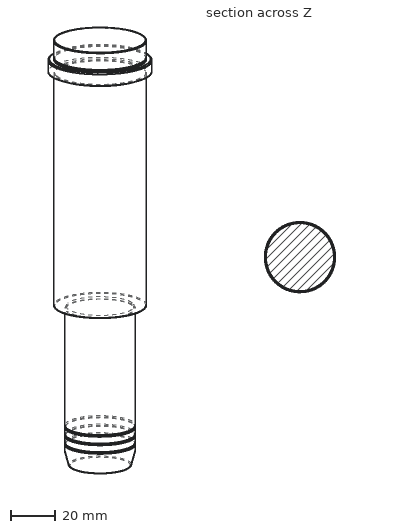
import cadquery as cq

total_length = 200.0
body_diameter = 42.0
body_bottom = 75.0
edge_chamfer = 0.5

collar_diameter = 47.0
collar_top = 191.0
collar_height = 5.8
collar_chamfer = 0.5

collar_relief_width = 1.0
collar_relief_depth = 0.5

pin_diameter = 32.0
tip_diameter = 28.2
tip_length = 7.0
tip_chamfer = 0.5

neck_width = 1.2
neck_depth = 0.5

ring_count = 3
ring_pitch = 4.0
lowest_ring_center = 10.5
ring_width = 1.0
ring_depth = 0.5


def cylinder(diameter, bottom, top):
    """Cylinder on the Z axis between two heights."""
    return cq.Workplane("XY").workplane(offset=bottom).circle(diameter / 2).extrude(top - bottom)


def groove(diameter, depth, bottom, width):
    """Square ring-shaped cutter that sinks a groove into a cylinder."""
    outer = cylinder(diameter + 2 * depth, bottom, bottom + width)
    inner = cylinder(diameter - 2 * depth, bottom, bottom + width)
    return outer.cut(inner)


def v_groove(diameter, depth, center, width):
    """V-shaped ring cutter whose mouth is centered at the given height."""
    radius = diameter / 2
    return (
        cq.Workplane("XZ")
        .moveTo(radius, center - width / 2)
        .lineTo(radius - depth, center)
        .lineTo(radius, center + width / 2)
        .close()
        .revolve(360, (0, 0, 0), (0, 1, 0))
    )


tip = (
    cq.Workplane("XY")
    .circle(tip_diameter / 2)
    .workplane(offset=tip_length)
    .circle(pin_diameter / 2)
    .loft()
    .faces("<Z")
    .chamfer(tip_chamfer)
)
pin = cylinder(pin_diameter, tip_length, body_bottom)
pin = pin.cut(groove(pin_diameter, neck_depth, body_bottom - neck_width, neck_width))
for index in range(ring_count):
    ring_center = lowest_ring_center + index * ring_pitch
    pin = pin.cut(v_groove(pin_diameter, ring_depth, ring_center, ring_width))

collar_bottom = collar_top - collar_height
body = cylinder(body_diameter, body_bottom, total_length).faces("<Z or >Z").chamfer(edge_chamfer)
for relief_center in (collar_bottom - collar_relief_width / 2, collar_top + collar_relief_width / 2):
    body = body.cut(v_groove(body_diameter, collar_relief_depth, relief_center, collar_relief_width))

collar = cylinder(collar_diameter, collar_bottom, collar_top).faces(">Z").chamfer(collar_chamfer)

result = tip.union(pin).union(body).union(collar)